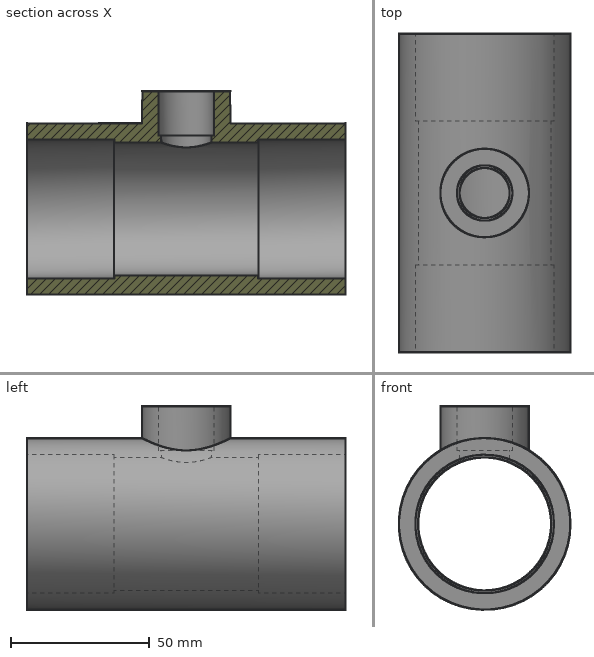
import cadquery as cq

length = 115.0
pipe_diameter = 62.0
socket_diameter = 50.0
bore_diameter = 48.0
socket_depth = 31.5

branch_diameter = 32.0
branch_socket_diameter = 20.0
branch_bore_diameter = 18.0
branch_socket_depth = 16.0
total_height = 73.5
branch_top = total_height - pipe_diameter / 2


def cylinder_along_y(diameter, start, end):
    """Cylinder on the Y axis between two Y positions."""
    sketch = cq.Workplane("XZ", origin=(0, start, 0)).circle(diameter / 2)
    return sketch.extrude(start - end)


def cylinder_along_z(diameter, bottom, top):
    """Cylinder on the Z axis between two heights."""
    return cq.Workplane("XY").workplane(offset=bottom).circle(diameter / 2).extrude(top - bottom)


half_length = length / 2
pipe = cylinder_along_y(pipe_diameter, -half_length, half_length)
body = pipe.union(cylinder_along_z(branch_diameter, 0, branch_top))

body = body.cut(cylinder_along_y(bore_diameter, -half_length, half_length))
body = body.cut(cylinder_along_y(socket_diameter, -half_length, -half_length + socket_depth))
body = body.cut(cylinder_along_y(socket_diameter, half_length - socket_depth, half_length))

body = body.cut(cylinder_along_z(branch_bore_diameter, 0, branch_top))
body = body.cut(cylinder_along_z(branch_socket_diameter, branch_top - branch_socket_depth, branch_top))

result = body